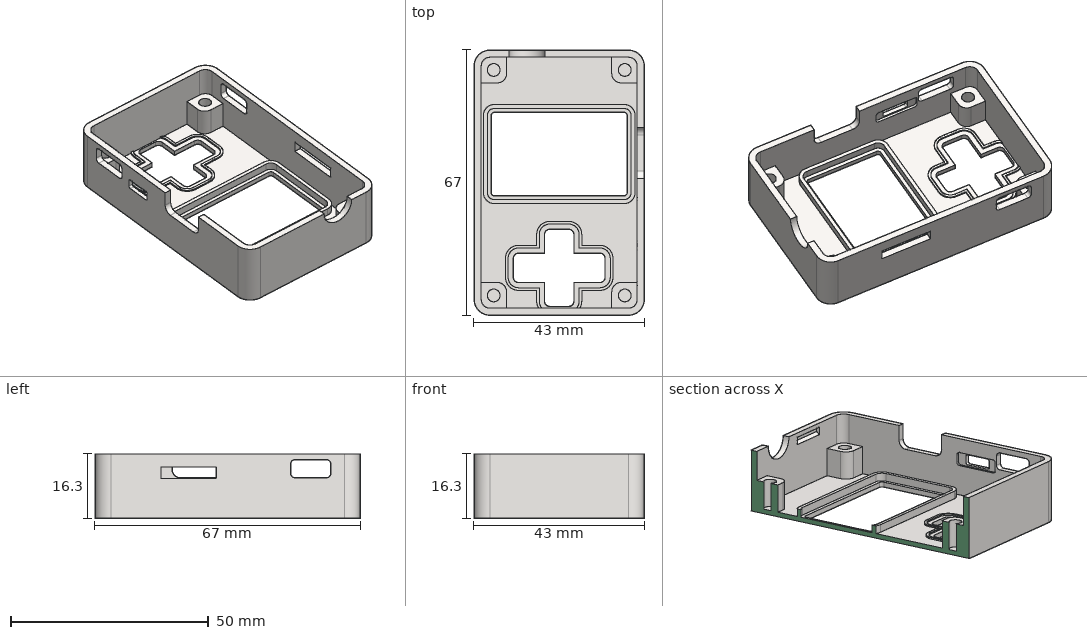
import cadquery as cq

LENGTH_X = 43.0
LENGTH_Y = 67.0
HEIGHT = 16.3
WALL = 1.8
FLOOR = 1.35
CORNER_RADIUS = 4.0
INNER_X = LENGTH_X - 2 * WALL
INNER_Y = LENGTH_Y - 2 * WALL
INNER_RADIUS = CORNER_RADIUS - WALL

POST_X = 6.4
POST_Y = 6.5
POST_TOP = 8.6
POST_RADIUS = 2.4
SCREW_DIAMETER = 3.2
SCREW_X = 16.55
SCREW_Y = 28.5

SCREEN_Y = 7.25
SCREEN_X_SIZE = 34.3
SCREEN_Y_SIZE = 21.05
SCREEN_RADIUS = 0.8
SCREEN_LEDGE = 1.0
SCREEN_RIM = 1.0
SCREEN_RIM_HEIGHT = 2.0

CROSS_Y = -21.5
CROSS_X_SIZE = 23.1
CROSS_Y_SIZE = 19.4
CROSS_ARM = 7.4
CROSS_RADIUS = 1.3
CROSS_LEDGE = 1.35
CROSS_RIM = 0.7
CROSS_RIM_HEIGHT = 0.35

SIDE_WINDOW_Y = -21.0
SIDE_WINDOW_Y_SIZE = 10.05
SIDE_WINDOW_BOTTOM = 10.3
SIDE_WINDOW_TOP = 14.8
SIDE_WINDOW_RADIUS = 1.0

SLOT_Y = 9.9
SLOT_Y_SIZE = 13.95
SLOT_BOTTOM = 10.05
SLOT_TOP = 12.9

NOTCH_Y = 7.5
NOTCH_Y_SIZE = 13.0
NOTCH_BOTTOM = 10.3
NOTCH_RADIUS = 2.0

PORT_Y = -9.65
PORT_Z = 10.85
PORT_RECESS_Y_SIZE = 11.8
PORT_RECESS_Z_SIZE = 3.5
PORT_RECESS_DEPTH = 0.7
PORT_Y_SIZE = 7.05
PORT_Z_SIZE = 2.7
PORT_RECESS_RADIUS = 0.8
PORT_RADIUS = 0.5

ROUND_NOTCH_X = -8.2
ROUND_NOTCH_RADIUS = 4.55

POCKET_X = 5.0
POCKET_X_SIZE = 9.7
POCKET_BOTTOM = 13.2
POCKET_TOP = 15.15
POCKET_DEPTH = 0.9
POCKET_RISE = 0.7


def rounded_block(x_size, y_size, height, radius, base=0.0, center=(0, 0)):
    """Upright block with rounded vertical edges."""
    return (
        cq.Workplane("XY", origin=(center[0], center[1], base))
        .rect(x_size, y_size)
        .extrude(height)
        .edges("|Z")
        .fillet(radius)
    )


def cross_block(offset, height, base):
    """Cross-shaped block grown outward by offset, with rounded arm ends and sharp inner corners."""
    radius = CROSS_RADIUS + offset
    arm = CROSS_ARM + 2 * offset
    x_size = CROSS_X_SIZE + 2 * offset
    y_size = CROSS_Y_SIZE + 2 * offset
    center = (0, CROSS_Y)
    across = rounded_block(x_size, arm, height, radius, base, center)
    along = rounded_block(arm, y_size, height, radius, base, center)
    return across.union(along)


def side_cutter(x_start, x_length, y_center, y_size, z_center, z_size, radius):
    """Block along X with rounded corners, for openings in the side walls."""
    return (
        cq.Workplane("YZ", origin=(x_start, y_center, z_center))
        .rect(y_size, z_size)
        .extrude(x_length)
        .edges("|X")
        .fillet(radius)
    )


def screen_block(offset, height, base):
    """Screen-shaped block grown outward by offset."""
    return rounded_block(
        SCREEN_X_SIZE + 2 * offset,
        SCREEN_Y_SIZE + 2 * offset,
        height,
        SCREEN_RADIUS + offset,
        base,
        (0, SCREEN_Y),
    )


shell = rounded_block(LENGTH_X, LENGTH_Y, HEIGHT, CORNER_RADIUS)
cavity = rounded_block(INNER_X, INNER_Y, HEIGHT, INNER_RADIUS, FLOOR)
result = shell.cut(cavity)

screen_rim = screen_block(SCREEN_LEDGE + SCREEN_RIM, SCREEN_RIM_HEIGHT, FLOOR)
screen_rim = screen_rim.cut(screen_block(SCREEN_LEDGE, SCREEN_RIM_HEIGHT, FLOOR))
cross_rim = cross_block(CROSS_LEDGE + CROSS_RIM, CROSS_RIM_HEIGHT, FLOOR)
cross_rim = cross_rim.cut(cross_block(CROSS_LEDGE, CROSS_RIM_HEIGHT, FLOOR))
result = result.union(screen_rim).union(cross_rim.intersect(cavity))

corners = [(sx, sy) for sx in (-1, 1) for sy in (-1, 1)]
for sx, sy in corners:
    post = rounded_block(
        2 * POST_X,
        2 * POST_Y,
        POST_TOP - FLOOR,
        POST_RADIUS,
        FLOOR,
        (sx * INNER_X / 2, sy * INNER_Y / 2),
    )
    result = result.union(post.intersect(cavity))

screw_holes = (
    cq.Workplane("XY", origin=(0, 0, FLOOR))
    .pushPoints([(sx * SCREW_X, sy * SCREW_Y) for sx, sy in corners])
    .circle(SCREW_DIAMETER / 2)
    .extrude(POST_TOP - FLOOR)
)
result = result.cut(screw_holes)

result = result.cut(screen_block(0, FLOOR, 0))
result = result.cut(cross_block(0, FLOOR, 0))

result = result.cut(
    side_cutter(
        -LENGTH_X / 2,
        LENGTH_X,
        SIDE_WINDOW_Y,
        SIDE_WINDOW_Y_SIZE,
        (SIDE_WINDOW_BOTTOM + SIDE_WINDOW_TOP) / 2,
        SIDE_WINDOW_TOP - SIDE_WINDOW_BOTTOM,
        SIDE_WINDOW_RADIUS,
    )
)

slot = (
    cq.Workplane("YZ", origin=(-LENGTH_X / 2, SLOT_Y, (SLOT_BOTTOM + SLOT_TOP) / 2))
    .rect(SLOT_Y_SIZE, SLOT_TOP - SLOT_BOTTOM)
    .extrude(WALL)
)
result = result.cut(slot)

notch = side_cutter(
    INNER_X / 2, WALL, NOTCH_Y, NOTCH_Y_SIZE, HEIGHT, 2 * (HEIGHT - NOTCH_BOTTOM), NOTCH_RADIUS
)
result = result.cut(notch)

port_recess = side_cutter(
    INNER_X / 2,
    PORT_RECESS_DEPTH,
    PORT_Y,
    PORT_RECESS_Y_SIZE,
    PORT_Z,
    PORT_RECESS_Z_SIZE,
    PORT_RECESS_RADIUS,
)
port_opening = side_cutter(INNER_X / 2, WALL, PORT_Y, PORT_Y_SIZE, PORT_Z, PORT_Z_SIZE, PORT_RADIUS)
result = result.cut(port_recess).cut(port_opening)

round_notch = (
    cq.Workplane("XZ", origin=(ROUND_NOTCH_X, LENGTH_Y / 2, HEIGHT))
    .circle(ROUND_NOTCH_RADIUS)
    .extrude(WALL)
)
result = result.cut(round_notch)

pocket = (
    cq.Workplane("YZ", origin=(POCKET_X - POCKET_X_SIZE / 2, INNER_Y / 2, 0))
    .moveTo(0, POCKET_BOTTOM)
    .lineTo(POCKET_DEPTH, POCKET_BOTTOM + POCKET_RISE)
    .lineTo(POCKET_DEPTH, POCKET_TOP)
    .lineTo(0, POCKET_TOP)
    .close()
    .extrude(POCKET_X_SIZE)
)
result = result.cut(pocket)